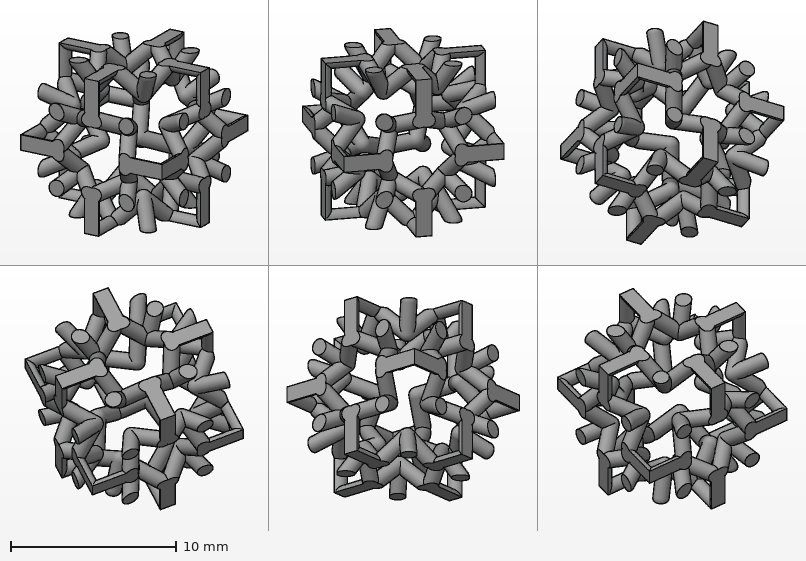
import cadquery as cq

CELL = 10.0
STRUT_DIAMETER = 1.0

HALF = CELL / 2
QUARTER = CELL / 4
THIRD = CELL / 3
SIXTH = CELL / 6
STRUT_RADIUS = STRUT_DIAMETER / 2

SIGNS = (1, -1)
AXES = (0, 1, 2)


def point(axis, height, u, v):
    """Point at the given height along an axis, with u and v along the next two axes."""
    coords = [0.0, 0.0, 0.0]
    coords[axis] = height
    coords[(axis + 1) % 3] = u
    coords[(axis + 2) % 3] = v
    return cq.Vector(*coords)


def strut(start, end):
    """Round bar from start to end."""
    direction = end - start
    return cq.Solid.makeCylinder(STRUT_RADIUS, direction.Length, start, direction)


def ball(center):
    """Sphere that rounds a strut end or the joint between struts."""
    return cq.Solid.makeSphere(STRUT_RADIUS, center, cq.Vector(0, 0, 1), -90, 90, 360)


def inner_branch(axis, side, u_sign, v_sign):
    """Inner node with one strut out through the face and two to the neighbouring face nodes."""
    node = point(axis, side * THIRD, u_sign * SIXTH, v_sign * SIXTH)
    face_exit = point(axis, side * HALF, u_sign * QUARTER, v_sign * QUARTER)
    u_node = point(axis, side * HALF, u_sign * QUARTER, 0)
    v_node = point(axis, side * HALF, 0, v_sign * QUARTER)
    return [
        ball(node),
        ball(face_exit),
        strut(node, face_exit),
        strut(node, u_node),
        strut(node, v_node),
    ]


def face_bar(axis, side, u_dir, v_dir):
    """Bar lying in a face, from its face node out to the middle of the face edge."""
    node = point(axis, side * HALF, u_dir * QUARTER, v_dir * QUARTER)
    edge_middle = point(axis, side * HALF, u_dir * HALF, v_dir * HALF)
    return [ball(node), strut(node, edge_middle)]


members = []
for axis in AXES:
    for side in SIGNS:
        for u_sign in SIGNS:
            for v_sign in SIGNS:
                members += inner_branch(axis, side, u_sign, v_sign)
        for sign in SIGNS:
            members += face_bar(axis, side, sign, 0)
            members += face_bar(axis, side, 0, sign)

lattice = members[0].fuse(*members[1:])
cell_block = cq.Solid.makeBox(CELL, CELL, CELL, cq.Vector(-HALF, -HALF, -HALF))
result = cq.Workplane("XY").newObject([lattice.intersect(cell_block)])